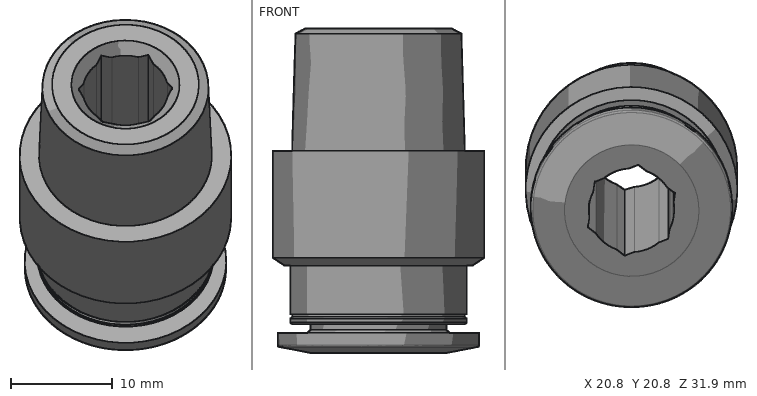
import cadquery as cq

height = 31.9
flange_dia = 19.8
flange_bottom_dia = 13.2
neck_dia = 13.4
neck_foot_dia = 14.0
collar_dia = 17.4
body_dia = 20.8
body_bottom_dia = 18.5
spigot_base_dia = 17.0
spigot_top_dia = 16.33
spigot_face_dia = 14.42

flange_cone_top = 0.65
flange_edge_radius = 0.22
flange_top = 2.0
neck_foot_top = 2.3
ring_bottom = 2.85
collar_bottom = 3.83
collar_top = 8.6
body_chamfer_top = 9.38
body_top = 19.87
spigot_chamfer_height = 0.5

ring_height = 0.73
ring_chamfer = 0.2
groove_dia = collar_dia - 2 * ring_chamfer

hex_across_flats = 7.98
hex_across_corners = hex_across_flats / (3**0.5 / 2)
relief_dia = 8.4
countersink_dia = 10.62
countersink_depth = 1.0


def make_outside():
    """Turn the stepped outside about the Z axis."""
    ring_top = ring_bottom + ring_height
    spigot_chamfer_bottom = height - spigot_chamfer_height
    steps = [
        (0, 0),
        (flange_bottom_dia, 0),
        (flange_dia, flange_cone_top),
        (flange_dia, flange_top),
        (neck_foot_dia, flange_top),
        (neck_dia, neck_foot_top),
        (neck_dia, ring_bottom),
        (groove_dia, ring_bottom),
        (collar_dia, ring_bottom + ring_chamfer),
        (collar_dia, ring_top - ring_chamfer),
        (groove_dia, ring_top),
        (groove_dia, collar_bottom),
        (collar_dia, collar_bottom),
        (collar_dia, collar_top),
        (body_bottom_dia, collar_top),
        (body_dia, body_chamfer_top),
        (body_dia, body_top),
        (spigot_base_dia, body_top),
        (spigot_top_dia, spigot_chamfer_bottom),
        (spigot_face_dia, height),
        (0, height),
    ]
    profile = [(diameter / 2, z) for diameter, z in steps]
    outside = cq.Workplane("XZ").polyline(profile).close().revolve(360, (0, 0), (0, 1))
    flange_edge = cq.selectors.BoxSelector(
        (-flange_dia, -flange_dia, flange_cone_top - flange_edge_radius),
        (flange_dia, flange_dia, flange_cone_top + flange_edge_radius),
    )
    return outside.edges("%CIRCLE").edges(flange_edge).fillet(flange_edge_radius)


def make_bore():
    """Join the hexagon, its round relief and the countersink at the top."""
    hexagon = (
        cq.Workplane("XY")
        .transformed(rotate=(0, 0, 90))
        .polygon(6, hex_across_corners)
        .extrude(height)
    )
    relief = cq.Workplane("XY").circle(relief_dia / 2).extrude(height)
    countersink = (
        cq.Workplane("XY", origin=(0, 0, height - countersink_depth))
        .circle(relief_dia / 2)
        .workplane(offset=countersink_depth)
        .circle(countersink_dia / 2)
        .loft()
    )
    return hexagon.union(relief).union(countersink)


result = make_outside().cut(make_bore())